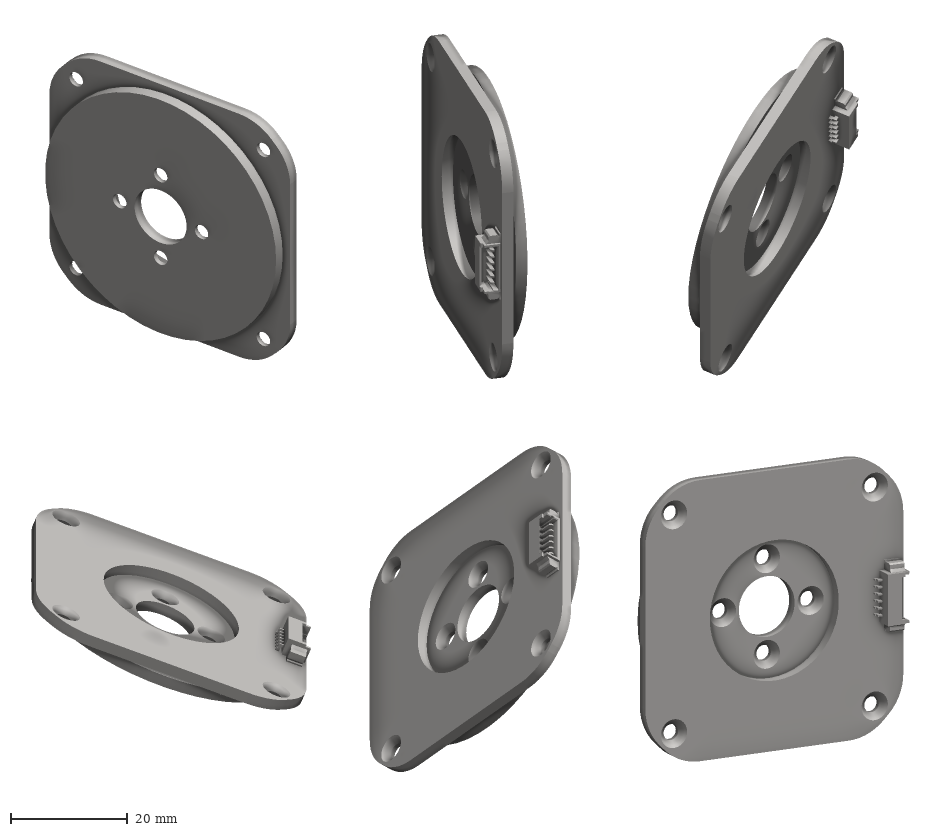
import cadquery as cq

disc_diameter = 48.0
disc_thickness = 2.0
bore_diameter = 10.8
screw_circle_radius = 8.5

screw_hole_diameter = 2.8
countersink_diameter = 5.1

board_side = 50.0
board_thickness = 2.0
disc_board_gap = 0.8
corner_cut = 6.6
corner_radius = 9.6
board_bore_diameter = 25.0
mount_hole_offset = 19.45
board_front = disc_thickness + disc_board_gap
board_back = board_front + board_thickness

housing_left = -24.6
housing_right = -20.25
housing_width = 9.2
housing_back = 8.25
housing_front = board_back + 0.2
lip_length = 1.0
notch_length = 0.7
notch_width = 7.6
notch_ramp = 0.3
back_wall = 0.4
side_wall = 0.55
floor = 0.4
rear_wall = 0.75
mouth_chamfer = 0.15
mouth_back = housing_back - back_wall
cavity_front = housing_front + floor
cavity_width = housing_width - 2 * side_wall

groove_front = 6.25
groove_back = 6.95
groove_depth = 0.25

pin_count = 6
pin_pitch = 1.25
pin_width = 0.3
pin_front = 5.85
pin_back = 6.55
pin_tip = -23.9
pin_tip_bevel = 0.3
tail_front = 5.55
tail_back = 6.2
tail_right = -19.4
leg_thickness = 0.5
foot_right = -19.2
foot_back = 5.4

clip_left = -24.1
clip_right = -21.25
clip_reach = 6.1
clip_back = 6.95
clip_slope_start = 7.45
clip_neck_reach = 5.1
clip_edge_chamfer = 0.25
clip_undercut = 0.4
clip_foot_reach = 6.3
clip_foot_thickness = 0.25


def box(x_range, y_range, z_range):
    """Axis-parallel box between the given limits."""
    size = [high - low for low, high in (x_range, y_range, z_range)]
    corner = (x_range[0], y_range[0], z_range[0])
    return cq.Workplane("XY").box(*size, centered=False).translate(corner)


def centred(width, middle=0.0):
    """Limits of a width centred on a middle."""
    return middle - width / 2, middle + width / 2


def cut_bore(body, diameter):
    """Cut the round opening along the Y axis."""
    return body.cut(cq.Workplane("XZ").circle(diameter / 2).extrude(board_side, both=True))


def cut_screw_holes(body, back, centres):
    """Cut holes along Y right through a body, each countersunk from its back face."""
    hole_radius = screw_hole_diameter / 2
    sink_radius = countersink_diameter / 2
    sink_depth = sink_radius - hole_radius
    for x, z in centres:
        face_point = cq.Vector(x, back, z)
        towards_front = cq.Vector(0, -1, 0)
        hole = cq.Solid.makeCylinder(hole_radius, board_side, face_point, towards_front)
        sink = cq.Solid.makeCone(sink_radius, hole_radius, sink_depth, face_point, towards_front)
        body = body.cut(cq.Workplane(hole)).cut(cq.Workplane(sink))
    return body


def make_disc():
    disc = cq.Workplane("XZ").circle(disc_diameter / 2).extrude(-disc_thickness)
    disc = cut_bore(disc, bore_diameter)
    r = screw_circle_radius
    return cut_screw_holes(disc, disc_thickness, [(r, 0), (0, r), (-r, 0), (0, -r)])


def make_board():
    side = centred(board_side)
    board = box(side, (board_front, board_back), side)
    board = board.edges("|Y").chamfer(corner_cut)
    board = board.edges("|Y").fillet(corner_radius)
    board = cut_bore(board, board_bore_diameter)
    m = mount_hole_offset
    return cut_screw_holes(board, board_back, [(m, m), (-m, m), (-m, -m), (m, -m)])


def make_housing():
    """Box with a chamfered mouth and a back wall set in from the side walls."""
    outer_z = centred(housing_width)
    housing = box((housing_left, housing_right), (housing_front, housing_back), outer_z)
    lip_end = housing_left + lip_length
    lip = box((housing_left, lip_end), (mouth_back, housing_back), outer_z)
    cavity_x = (housing_left, housing_right - rear_wall)
    cavity = box(cavity_x, (cavity_front, mouth_back), centred(cavity_width))
    groove = box(cavity_x, (groove_front, groove_back), centred(cavity_width + 2 * groove_depth))
    return housing.cut(lip).cut(make_notch()).cut(cavity).cut(groove).cut(make_lead_in())


def make_notch():
    """Notch in the middle of the back wall, ending in a ramp that runs deeper on the inside."""
    lip_end = housing_left + lip_length
    notch_end = lip_end + notch_length
    return (
        cq.Workplane("XY")
        .moveTo(lip_end, housing_back)
        .lineTo(notch_end, housing_back)
        .lineTo(notch_end + notch_ramp, mouth_back)
        .lineTo(lip_end, mouth_back)
        .close()
        .extrude(notch_width / 2, both=True)
    )


def make_lead_in():
    """Tapered plug that chamfers the mouth; its back side lies in the open lip."""
    front = cavity_front - mouth_chamfer
    back = mouth_back + mouth_chamfer
    return (
        cq.Workplane("YZ", origin=(housing_left, 0, 0))
        .center((front + back) / 2, 0)
        .rect(back - front, cavity_width + 2 * mouth_chamfer)
        .extrude(mouth_chamfer, taper=45)
    )


def make_pin(z):
    """Contact pin inside the housing with the bent solder tail behind it."""
    width = centred(pin_width, z)
    pin = box((pin_tip, housing_right), (pin_front, pin_back), width)
    pin = pin.edges("<X and >Y").chamfer(pin_tip_bevel)
    tail = box((housing_right - rear_wall, tail_right), (tail_front, tail_back), width)
    leg = box((tail_right - leg_thickness, tail_right), (board_back, tail_front), width)
    foot = box((tail_right, foot_right), (board_back, foot_back), width)
    return pin.union(tail).union(leg).union(foot)


def make_clip():
    """Clip on the +Z side of the housing, with its foot on the board."""
    root = housing_width / 2 - side_wall + groove_depth
    foot_top = board_back + clip_foot_thickness
    return (
        cq.Workplane("YZ", origin=(clip_left, 0, 0))
        .moveTo(board_back, root)
        .lineTo(clip_slope_start, root)
        .lineTo(clip_slope_start, housing_width / 2)
        .lineTo(clip_back, clip_neck_reach)
        .lineTo(clip_back, clip_reach - clip_edge_chamfer)
        .lineTo(clip_back - clip_edge_chamfer, clip_reach)
        .lineTo(foot_top + clip_undercut, clip_reach)
        .lineTo(foot_top, clip_reach - clip_undercut)
        .lineTo(foot_top, clip_foot_reach)
        .lineTo(board_back, clip_foot_reach)
        .close()
        .extrude(clip_right - clip_left)
    )


def make_connector():
    connector = make_housing()
    for i in range(pin_count):
        connector = connector.union(make_pin((i - (pin_count - 1) / 2) * pin_pitch))
    clip = make_clip()
    return connector.union(clip).union(clip.mirror("XY"))


disc = make_disc()
board = make_board()
connector = make_connector()

result = cq.Compound.makeCompound([disc.val(), board.val(), connector.val()])